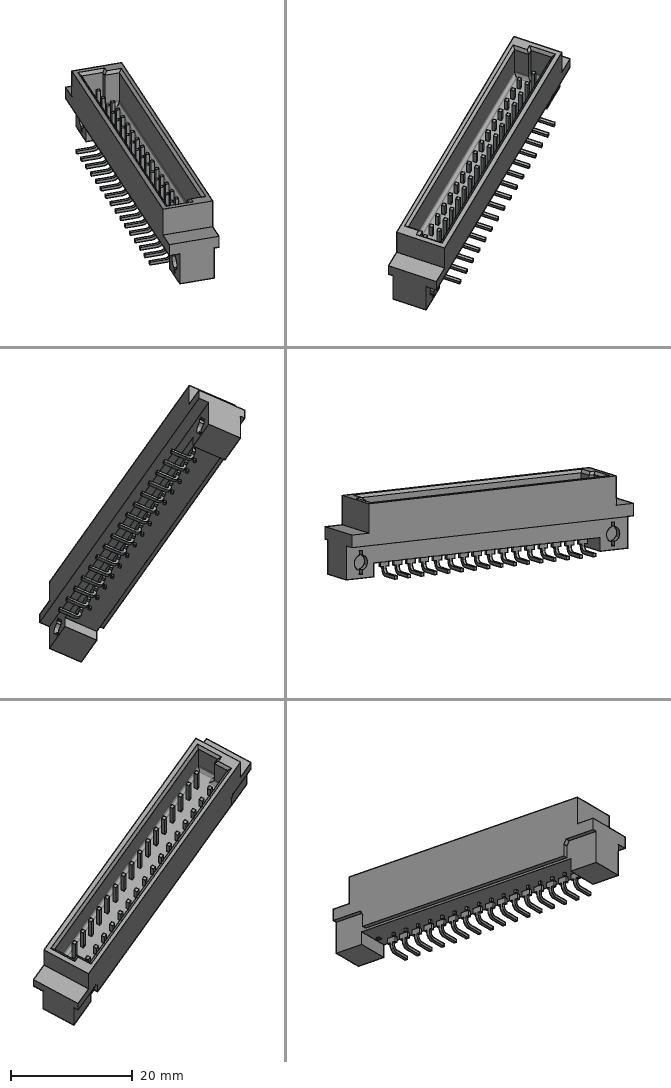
import cadquery as cq

LENGTH = 53.9
HEIGHT = 12.95
HOUSING_DEPTH = 8.6
SHROUD_LENGTH = 47.3
FLANGE_TOP = 8.05
FLANGE_BOTTOM = 5.95
BASE_FRONT = -2.5
BASE_BACK = 3.5
BASE_UNDERSIDE = 2.55
LEG_BOTTOM = 0.2
LEG_GAP = 43.35
HOUSING_FRONT = -HOUSING_DEPTH / 2
HOUSING_BACK = HOUSING_DEPTH / 2

CAVITY_FLOOR = 6.5
CAVITY_WIDE = 44.75
CAVITY_NARROW = 42.8
CAVITY_FRONT = -3.0
CAVITY_STEP = 0.65
CAVITY_BACK = 3.2
RIM_CHAMFER = 0.5
FLOOR_FILLET = 0.65

COLUMNS = 16
PITCH = 2.55
PIN_SIZE = 0.6
FRONT_PIN_TOP = 11.3
BACK_PIN_TOP = 8.6
LEAD_WIDTH = 0.55
LEAD_THICKNESS = 0.55
LEAD_BEND_RADIUS = 0.7
LEAD_TIP = -5.05
LEAD_FRONT = -PITCH / 2 - LEAD_THICKNESS / 2
SHOULDER_WIDTH = 1.55
SHOULDER_BOTTOM = 1.55

POST_SIZE = 0.45
POST_BOTTOM = 2.0
STUB_X = 20.85
STUB_SIZE = 0.65
STUB_BOTTOM = 2.35

LOCK_SPACING = 48.3
LOCK_Z = 2.85
LOCK_DIAMETER = 2.55
LOCK_DEPTH = 0.95
KEY_WIDTH = 0.55
KEY_HEIGHT = 4.0

RAIL_LENGTH = 41.7
RAIL_BOTTOM = 2.95
RAIL_FLARE_HEIGHT = 0.8
RAIL_FLARE_WIDTH = 0.5

EMBED = 0.55


def block(x_size, y_min, y_max, z_min, z_max, x_center=0.0):
    """Axis-aligned box centred on x_center."""
    corner = (x_center - x_size / 2, y_min, z_min)
    return cq.Workplane("XY").box(x_size, y_max - y_min, z_max - z_min, centered=False).translate(corner)


def make_housing():
    shroud = block(SHROUD_LENGTH, HOUSING_FRONT, HOUSING_BACK, FLANGE_BOTTOM, HEIGHT)
    flange = block(LENGTH, HOUSING_FRONT, HOUSING_BACK, FLANGE_BOTTOM, FLANGE_TOP)
    base = block(LENGTH, BASE_FRONT, BASE_BACK, LEG_BOTTOM, FLANGE_BOTTOM)
    leg_gap = block(LEG_GAP, BASE_FRONT, BASE_BACK, LEG_BOTTOM, BASE_UNDERSIDE)
    return shroud.union(flange).union(base).cut(leg_gap)


def make_rail():
    half = RAIL_LENGTH / 2
    flare_bottom = FLANGE_BOTTOM - RAIL_FLARE_HEIGHT
    outline = [
        (-half, RAIL_BOTTOM),
        (half, RAIL_BOTTOM),
        (half, flare_bottom),
        (half + RAIL_FLARE_WIDTH, FLANGE_BOTTOM),
        (-half - RAIL_FLARE_WIDTH, FLANGE_BOTTOM),
        (-half, flare_bottom),
    ]
    rail = cq.Workplane("XZ", origin=(0, HOUSING_BACK, 0)).polyline(outline).close()
    return rail.extrude(HOUSING_BACK - BASE_BACK)


def cavity_outline(z, grow=0.0):
    """Stepped cavity outline at height z, with every wall moved outwards by grow."""
    wide = CAVITY_WIDE / 2 + grow
    narrow = CAVITY_NARROW / 2 + grow
    front = CAVITY_FRONT - grow
    step = CAVITY_STEP + grow
    back = CAVITY_BACK + grow
    right_side = [(wide, front), (wide, step), (narrow, step), (narrow, back)]
    left_side = [(-x, y) for x, y in reversed(right_side)]
    return cq.Workplane("XY", origin=(0, 0, z)).polyline(right_side + left_side).close()


def make_cavity():
    pocket = cavity_outline(CAVITY_FLOOR).extrude(HEIGHT - CAVITY_FLOOR)
    pocket = pocket.faces("<Z").edges().fillet(FLOOR_FILLET)
    bevel_bottom = cavity_outline(HEIGHT - RIM_CHAMFER).wires().val()
    bevel_top = cavity_outline(HEIGHT, RIM_CHAMFER).wires().val()
    bevel = cq.Solid.makeLoft([bevel_bottom, bevel_top], True)
    return pocket.union(cq.Workplane(bevel))


def make_lock_holes():
    centers = [(-LOCK_SPACING / 2, LOCK_Z), (LOCK_SPACING / 2, LOCK_Z)]
    face = cq.Workplane("XZ", origin=(0, BASE_FRONT, 0)).pushPoints(centers)
    bores = face.circle(LOCK_DIAMETER / 2).extrude(-LOCK_DEPTH)
    keys = face.rect(KEY_WIDTH, KEY_HEIGHT).extrude(-LOCK_DEPTH)
    return bores.union(keys)


def make_lead(x):
    """Flat lead that leaves the base downwards, bends to the front and ends in a solder tail."""
    lead_back = LEAD_FRONT + LEAD_THICKNESS
    outer_radius = LEAD_BEND_RADIUS + LEAD_THICKNESS
    bend_end = LEAD_FRONT - LEAD_BEND_RADIUS
    lead_top = BASE_UNDERSIDE + EMBED
    strip = (
        cq.Workplane("YZ", origin=(x - LEAD_WIDTH / 2, 0, 0))
        .moveTo(LEAD_TIP, 0)
        .lineTo(bend_end, 0)
        .radiusArc((lead_back, outer_radius), -outer_radius)
        .lineTo(lead_back, lead_top)
        .lineTo(LEAD_FRONT, lead_top)
        .lineTo(LEAD_FRONT, outer_radius)
        .radiusArc((bend_end, LEAD_THICKNESS), LEAD_BEND_RADIUS)
        .lineTo(LEAD_TIP, LEAD_THICKNESS)
        .close()
        .extrude(LEAD_WIDTH)
    )
    shoulder = block(SHOULDER_WIDTH, LEAD_FRONT, lead_back, SHOULDER_BOTTOM, lead_top, x)
    return strip.union(shoulder)


def square_post(x, y, size, z_min, z_max):
    return block(size, y - size / 2, y + size / 2, z_min, z_max, x)


housing = make_housing().union(make_rail()).cut(make_cavity()).cut(make_lock_holes())

row_y = PITCH / 2
pin_bottom = CAVITY_FLOOR - EMBED
post_top = BASE_UNDERSIDE + EMBED
column_x = [(i - (COLUMNS - 1) / 2) * PITCH for i in range(COLUMNS)]

attachments = [square_post(STUB_X, 0, STUB_SIZE, STUB_BOTTOM, post_top)]
for x in column_x:
    attachments.append(make_lead(x))
    attachments.append(square_post(x, -row_y, PIN_SIZE, pin_bottom, FRONT_PIN_TOP))
    attachments.append(square_post(x, row_y, PIN_SIZE, pin_bottom, BACK_PIN_TOP))
for x in column_x[:-1]:
    attachments.append(square_post(x + PITCH / 2, 0, POST_SIZE, POST_BOTTOM, post_top))

result = cq.Workplane(housing.val().fuse(*[body.val() for body in attachments]).clean())